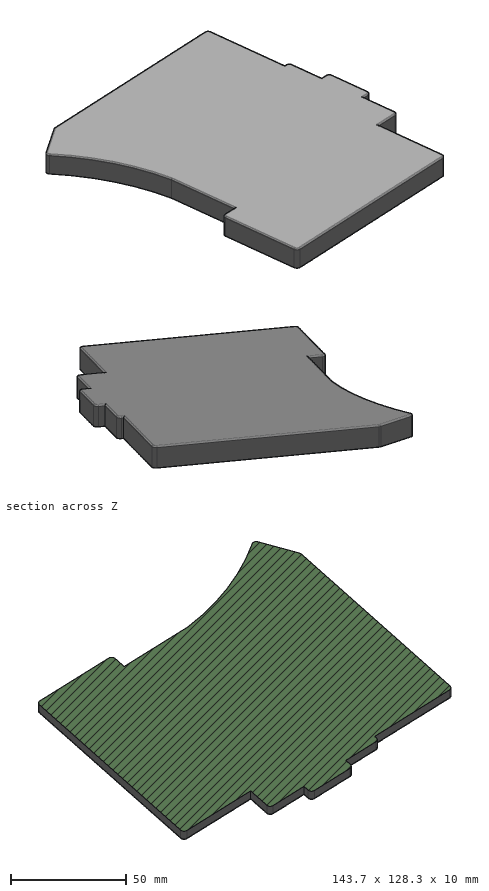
import cadquery as cq
import math

width = 143.7
thickness = 10.0
corner_radius = 1.9
top_edge_fillet = 0.7

tab_top = 128.3
left_top = 120.8
shoulder_top = 123.5
right_top = 110.8
shoulder_left = 43.8
tab_left = 62.5
tab_right = 86.3
shoulder_right = 105.7

foot_left = 101.0
foot_bottom = 11.6
recess_edge = 19.7
arc_end_x = 65.2
arc_rise = 3.9
tip_x = 10.9
tip_y = -0.9
slant_angle = 60.0

slant_top = tip_y + tip_x * math.tan(math.radians(slant_angle))


def arc_midpoint(start, end, rise):
    """Point at the middle of an arc that bulges to the left of start-to-end by rise."""
    dx = end[0] - start[0]
    dy = end[1] - start[1]
    chord = math.hypot(dx, dy)
    mid_x = (start[0] + end[0]) / 2 - rise * dy / chord
    mid_y = (start[1] + end[1]) / 2 + rise * dx / chord
    return mid_x, mid_y


def plate_blank():
    """Sharp-cornered plate with the full outline."""
    tip = (tip_x, tip_y)
    arc_end = (arc_end_x, recess_edge)
    outline = (
        cq.Workplane("XY")
        .moveTo(*tip)
        .threePointArc(arc_midpoint(tip, arc_end, arc_rise), arc_end)
        .lineTo(foot_left, recess_edge)
        .lineTo(foot_left, foot_bottom)
        .lineTo(width, foot_bottom)
        .lineTo(width, right_top)
        .lineTo(shoulder_right, right_top)
        .lineTo(shoulder_right, shoulder_top)
        .lineTo(tab_right, shoulder_top)
        .lineTo(tab_right, tab_top)
        .lineTo(tab_left, tab_top)
        .lineTo(tab_left, shoulder_top)
        .lineTo(shoulder_left, shoulder_top)
        .lineTo(shoulder_left, left_top)
        .lineTo(0, left_top)
        .lineTo(0, slant_top)
        .close()
    )
    return outline.extrude(thickness)


def round_outer_corners(plate):
    """Round the corners that point outward; inner corners stay sharp."""
    outer_corners = [
        (tip_x, tip_y),
        (foot_left, foot_bottom),
        (width, foot_bottom),
        (width, right_top),
        (shoulder_right, shoulder_top),
        (tab_right, tab_top),
        (tab_left, tab_top),
        (shoulder_left, shoulder_top),
        (0, left_top),
        (0, slant_top),
    ]
    for x, y in outer_corners:
        corner = cq.selectors.NearestToPointSelector((x, y, thickness / 2))
        plate = plate.edges(corner).fillet(corner_radius)
    return plate


rounded_plate = round_outer_corners(plate_blank())
result = rounded_plate.faces(">Z").edges().fillet(top_edge_fillet)